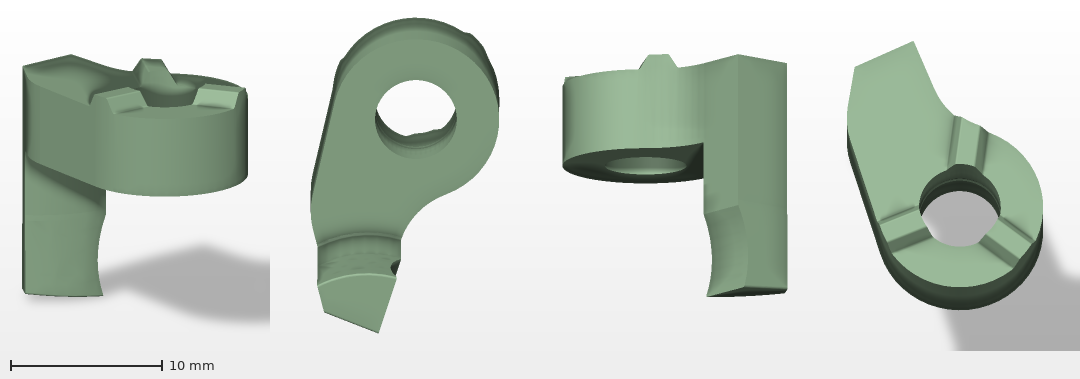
import cadquery as cq
import math

HUB_TOP = 15.72
HUB_BOTTOM = 10.39
FLARE_TOP = 5.91
SPLIT_HEIGHT = 5.53
RIDGE_HEIGHT = 0.98

HUB_RADIUS = 11.0 / 2
BORE_RADIUS = 5.4 / 2
GROOVE_TOP = HUB_TOP - 2.36
GROOVE_HEIGHT = 0.52
GROOVE_LOWER_SLOPE_HEIGHT = 0.15
GROOVE_DEPTH = 0.09

BLEND_RADIUS = 5.0
ARM_BACK_Y = 1.57
ARM_END_BACK_X = -11.77
ARM_END_FRONT = (-11.6, -2.71)
NOSE_ANGLE = math.radians(32)
FRONT_ANGLE = math.radians(5)

LEG_FRONT_X = -10.3
LEG_INNER_X = -8.13
LEG_ARC_RADIUS = 7.14
ROOT_FILLET = 0.17
FLANK_FLARE = 0.25
INNER_FLARE = 0.21
FRONT_EDGE_SHIFT = 0.1
CUTTING_EDGE_Y = 1.25
END_RELIEF_ANGLE = math.radians(6)
RAKE_MIDDLE = (0.82, 2.38)
TIP_CORNER_RADIUS = 0.14

RIDGE_ANGLES = (30, 150, 270)
RIDGE_FOOT_HALF_WIDTH = 1.2
RIDGE_FLANK_ANGLE = math.radians(30)
RIDGE_FILLET = 0.15
RIDGE_PLATE_HALF_WIDTH = 1.57
RIDGE_PLATE_DEPTH = 0.35

MARGIN = 1.75


def nose_y(x):
    """Y of the slanted nose face at a given X."""
    return ARM_END_FRONT[1] - (x - ARM_END_FRONT[0]) * math.tan(NOSE_ANGLE)


def on_circle(radius, angle, center=(0, 0)):
    """Point at a given angle on a circle."""
    return (center[0] + radius * math.cos(angle), center[1] + radius * math.sin(angle))


def outline_prism(bottom, top):
    """Hub and arm outline, extruded between two heights."""
    hub_front = on_circle(HUB_RADIUS, -math.pi / 2 - FRONT_ANGLE)

    corner_x = (
        nose_y(0) - hub_front[1] - hub_front[0] * math.tan(FRONT_ANGLE)
    ) / (math.tan(NOSE_ANGLE) - math.tan(FRONT_ANGLE))
    corner = (corner_x, nose_y(corner_x))
    tangent_length = BLEND_RADIUS * math.tan((NOSE_ANGLE - FRONT_ANGLE) / 2)
    nose_end = on_circle(tangent_length, math.pi - NOSE_ANGLE, corner)
    front_start = on_circle(tangent_length, -FRONT_ANGLE, corner)

    blend_y = ARM_BACK_Y + BLEND_RADIUS
    blend_angle = math.pi - math.asin(blend_y / (HUB_RADIUS + BLEND_RADIUS))
    blend_center = on_circle(HUB_RADIUS + BLEND_RADIUS, blend_angle)
    blend_start = on_circle(HUB_RADIUS, blend_angle)

    return (
        cq.Workplane("XY", origin=(0, 0, bottom))
        .moveTo(ARM_END_BACK_X, ARM_BACK_Y)
        .lineTo(*ARM_END_FRONT)
        .lineTo(*nose_end)
        .tangentArcPoint(front_start, relative=False)
        .lineTo(*hub_front)
        .threePointArc((HUB_RADIUS, 0), blend_start)
        .tangentArcPoint((blend_center[0], ARM_BACK_Y), relative=False)
        .close()
        .extrude(top - bottom)
    )


def leg_section(plane, flank_flare=0.0, inner_flare=0.0, front_shift=0.0):
    """Draw the leg's cross-section; flaring moves its ends along the fixed nose face."""
    end_front_x = ARM_END_FRONT[0] - flank_flare
    front_x = LEG_FRONT_X + front_shift
    return (
        plane.moveTo(ARM_END_BACK_X - flank_flare, ARM_BACK_Y)
        .lineTo(end_front_x, nose_y(end_front_x))
        .lineTo(front_x, nose_y(front_x))
        .radiusArc((LEG_INNER_X + inner_flare, ARM_BACK_Y), -LEG_ARC_RADIUS)
        .close()
    )


def straight_leg():
    plane = cq.Workplane("XY", origin=(0, 0, FLARE_TOP))
    return leg_section(plane).extrude(HUB_BOTTOM - FLARE_TOP)


def flared_leg():
    """Lower leg, widening from the flare's top down to the cutting edge."""
    upper = leg_section(cq.Workplane("XY", origin=(0, 0, FLARE_TOP)))
    lower = leg_section(
        upper.workplane(offset=-FLARE_TOP), FLANK_FLARE, INNER_FLARE, FRONT_EDGE_SHIFT
    )
    return lower.loft(ruled=True, combine=True)


def slab(bottom, top):
    """Horizontal slice, wide enough to contain the leg."""
    size = 4 * HUB_RADIUS + 2 * MARGIN
    return cq.Workplane("XY", origin=(-HUB_RADIUS, 0, bottom)).rect(size, size).extrude(top - bottom)


def ridges():
    """Trapezoidal ridges on a thin plate, with rounded feet and crests."""
    crest = RIDGE_FOOT_HALF_WIDTH - RIDGE_HEIGHT * math.tan(RIDGE_FLANK_ANGLE)
    right_side = [
        (RIDGE_PLATE_HALF_WIDTH, -RIDGE_PLATE_DEPTH),
        (RIDGE_PLATE_HALF_WIDTH, 0),
        (RIDGE_FOOT_HALF_WIDTH, 0),
        (crest, RIDGE_HEIGHT),
    ]
    left_side = [(-x, z) for x, z in reversed(right_side)]
    ridge = (
        cq.Workplane("XZ")
        .polyline(right_side + left_side)
        .close()
        .extrude(HUB_RADIUS + MARGIN)
    )
    foot_and_crest = cq.selectors.BoxSelector(
        (-RIDGE_FOOT_HALF_WIDTH - RIDGE_FILLET, -HUB_RADIUS - MARGIN, -RIDGE_FILLET),
        (RIDGE_FOOT_HALF_WIDTH + RIDGE_FILLET, 0, RIDGE_HEIGHT + RIDGE_FILLET),
    )
    ridge = ridge.edges("|Y").edges(foot_and_crest).fillet(RIDGE_FILLET)
    ridge = ridge.translate((0, 0, HUB_TOP))

    outline = outline_prism(HUB_BOTTOM, HUB_TOP + RIDGE_HEIGHT)
    return [ridge.rotate((0, 0, 0), (0, 0, 1), angle + 90).intersect(outline) for angle in RIDGE_ANGLES]


def bore():
    """Through bore with an internal V-shaped ring groove."""
    hole = cq.Workplane("XY", origin=(0, 0, HUB_BOTTOM)).circle(BORE_RADIUS)
    hole = hole.extrude(HUB_TOP + RIDGE_HEIGHT - HUB_BOTTOM)
    groove_floor = GROOVE_TOP - GROOVE_HEIGHT
    groove = (
        cq.Workplane("XZ")
        .polyline([
            (0, GROOVE_TOP),
            (BORE_RADIUS, GROOVE_TOP),
            (BORE_RADIUS + GROOVE_DEPTH, groove_floor + GROOVE_LOWER_SLOPE_HEIGHT),
            (BORE_RADIUS, groove_floor),
            (0, groove_floor),
        ])
        .close()
        .revolve(360, (0, 0), (0, 1))
    )
    return hole.union(groove)


def make_holder():
    body = outline_prism(HUB_BOTTOM, HUB_TOP).union(straight_leg())

    root = cq.selectors.NearestToPointSelector((LEG_INNER_X, 0, HUB_BOTTOM))
    body = body.edges(root).fillet(ROOT_FILLET)

    body = body.union(flared_leg().intersect(slab(SPLIT_HEIGHT, FLARE_TOP)))
    for ridge in ridges():
        body = body.union(ridge)
    return body.cut(bore())


def make_cutting_tip():
    body = flared_leg().intersect(slab(0, SPLIT_HEIGHT))
    across = cq.Workplane("YZ", origin=(-2 * HUB_RADIUS - 2 * MARGIN, 0, 0))
    width = 2 * HUB_RADIUS + 2 * MARGIN

    far_y = -HUB_RADIUS
    relief = (
        across.polyline([
            (CUTTING_EDGE_Y, 0),
            (far_y, (CUTTING_EDGE_Y - far_y) * math.tan(END_RELIEF_ANGLE)),
            (far_y, -MARGIN),
            (CUTTING_EDGE_Y, -MARGIN),
        ])
        .close()
        .extrude(width)
    )
    body = body.cut(relief)

    rake = (
        across.moveTo(CUTTING_EDGE_Y, 0)
        .threePointArc(RAKE_MIDDLE, (ARM_BACK_Y, SPLIT_HEIGHT))
        .lineTo(ARM_BACK_Y, SPLIT_HEIGHT + MARGIN)
        .lineTo(ARM_BACK_Y + MARGIN, SPLIT_HEIGHT + MARGIN)
        .lineTo(ARM_BACK_Y + MARGIN, -MARGIN)
        .lineTo(CUTTING_EDGE_Y, -MARGIN)
        .close()
        .extrude(width)
    )
    body = body.cut(rake)

    return body.faces("<Z").edges("<X or >X").fillet(TIP_CORNER_RADIUS)


holder = make_holder()
cutting_tip = make_cutting_tip()
result = cq.Compound.makeCompound([holder.val(), cutting_tip.val()])